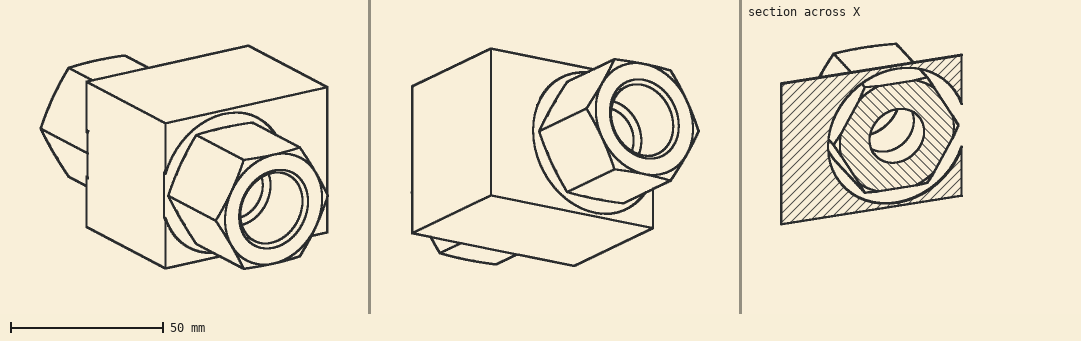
import cadquery as cq
import math

block_length = 47.625
block_depth = 63.5
block_height = 50.8
axis_to_front = 22.86
spotface_diameter = 48.26
spotface_depth = 0.75
bore_diameter = 19.05

overall_length = 107.57
hex_across_flats = 38.1
hex_corner_diameter = hex_across_flats / math.cos(math.radians(30))
hex_chamfer_angle = 20.0
envelope_clearance = 1.0
seat_x = block_length / 2 - spotface_depth
hex_length = overall_length / 2 - seat_x

mouth_diameter = 26.99
mouth_half_angle = 45.0
port_small_diameter = 23.39
port_taper = 1 / 16
taper_length = 15.5
straight_length = 3.0
cone_half_angle = 59.0
port_large_diameter = port_small_diameter + port_taper * taper_length


def cone_depth(large_diameter, small_diameter, half_angle):
    """Axial length of a cone between two diameters."""
    return (large_diameter - small_diameter) / 2 / math.tan(math.radians(half_angle))


mouth_depth = cone_depth(mouth_diameter, port_large_diameter, mouth_half_angle)
cone_length = cone_depth(port_small_diameter, bore_diameter, cone_half_angle)


def rod_along_x(diameter, start_x, length):
    """Round rod on the flow axis, growing toward +X."""
    return cq.Workplane("YZ", origin=(start_x, 0, 0)).circle(diameter / 2).extrude(length)


def make_block():
    """Rectangular block with a through bore and a spotface on each end."""
    body = cq.Workplane("XY").box(block_length, block_depth, block_height)
    body = body.translate((0, block_depth / 2 - axis_to_front, 0))
    body = body.cut(rod_along_x(bore_diameter, -block_length / 2, block_length))
    for floor_x in (-block_length / 2, seat_x):
        body = body.cut(rod_along_x(spotface_diameter, floor_x, spotface_depth))
    return body


def make_chamfer_envelope():
    """Turned shape that trims the hex corners at both ends."""
    face_radius = hex_across_flats / 2
    outer_radius = hex_corner_diameter / 2 + envelope_clearance
    setback = (outer_radius - face_radius) * math.tan(math.radians(hex_chamfer_angle))
    profile = [
        (0, 0),
        (0, face_radius),
        (setback, outer_radius),
        (hex_length - setback, outer_radius),
        (hex_length, face_radius),
        (hex_length, 0),
    ]
    return cq.Workplane("XY").polyline(profile).close().revolve(360, (0, 0, 0), (1, 0, 0))


def make_port():
    """Flow passage: bore, drill cone, straight hole, tapered thread hole and flared mouth."""
    taper_end = hex_length - mouth_depth
    taper_start = taper_end - taper_length
    cone_end = taper_start - straight_length
    profile = [
        (0, 0),
        (0, bore_diameter / 2),
        (cone_end - cone_length, bore_diameter / 2),
        (cone_end, port_small_diameter / 2),
        (taper_start, port_small_diameter / 2),
        (taper_end, port_large_diameter / 2),
        (hex_length, mouth_diameter / 2),
        (hex_length, 0),
    ]
    return cq.Workplane("XY").polyline(profile).close().revolve(360, (0, 0, 0), (1, 0, 0))


def make_fitting(turn):
    """Hex fitting on the +X end, turned about Z to face its own end of the block."""
    body = cq.Workplane("YZ").polygon(6, hex_corner_diameter).extrude(hex_length)
    body = body.intersect(make_chamfer_envelope()).cut(make_port())
    return body.translate((seat_x, 0, 0)).rotate((0, 0, 0), (0, 0, 1), turn)


block = make_block()
fittings = [make_fitting(turn) for turn in (0, 180)]

result = cq.Compound.makeCompound([block.val(), *[fitting.val() for fitting in fittings]])